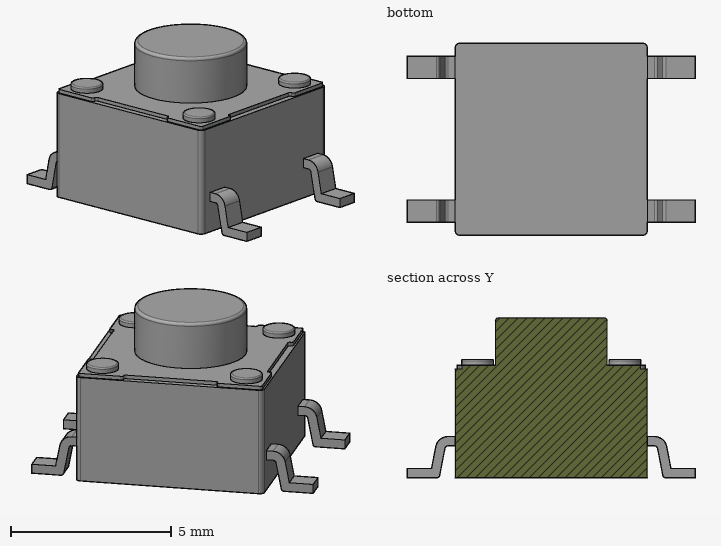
import cadquery as cq
import math

overall_length = 9.0
overall_height = 5.0

body_size = 6.0
body_height = 3.4
body_corner_radius = 0.15

cover_inset = 0.06
cover_thickness = 0.12
cover_corner_radius = 0.06
notch_length = 3.0
notch_depth = 0.15

rivet_diameter = 1.0
rivet_height = 0.18
rivet_spacing = 4.6
rivet_edge_radius = 0.045

button_diameter = 3.5
button_edge_radius = 0.1

lead_width = 0.7
lead_thickness = 0.3
lead_top = 1.3
lead_spacing = 4.48
lead_shoulder = 0.22
lead_slant = math.radians(11)
lead_inner_radius = 0.1
lead_outer_radius = lead_inner_radius + lead_thickness
heel_radius = 0.1

cover_size = body_size - 2 * cover_inset
cover_top = body_height + cover_thickness


def make_body():
    body = cq.Workplane("XY").rect(body_size, body_size).extrude(body_height)
    return body.edges("|Z").fillet(body_corner_radius)


def make_cover():
    """Square plate with a shallow notch in the middle of each side, all corners rounded."""
    top_face = cq.Workplane("XY").workplane(offset=body_height)
    cover = top_face.rect(cover_size, cover_size).extrude(cover_thickness)
    notch = (
        top_face.center(cover_size / 2, 0)
        .rect(2 * notch_depth, notch_length)
        .extrude(cover_thickness)
    )
    for angle in (0, 90, 180, 270):
        cover = cover.cut(notch.rotate((0, 0, 0), (0, 0, 1), angle))
    return cover.edges("|Z").fillet(cover_corner_radius)


def make_rivets():
    return (
        cq.Workplane("XY")
        .workplane(offset=cover_top)
        .rarray(rivet_spacing, rivet_spacing, 2, 2)
        .circle(rivet_diameter / 2)
        .extrude(rivet_height)
        .faces(">Z")
        .edges()
        .fillet(rivet_edge_radius)
    )


def make_button():
    return (
        cq.Workplane("XY")
        .workplane(offset=cover_top)
        .circle(button_diameter / 2)
        .extrude(overall_height - cover_top)
        .faces(">Z")
        .edges()
        .fillet(button_edge_radius)
    )


def make_lead():
    """Lead on the +X side, centred on Y = 0."""
    root = body_size / 2
    tip = overall_length / 2
    bend_angle = math.pi / 2 - lead_slant
    slope = math.tan(lead_slant)
    slant_width = lead_thickness / math.cos(lead_slant)

    outer_knee = root + lead_shoulder + lead_outer_radius * math.tan(bend_angle / 2)
    outer_ankle = outer_knee + (lead_top - lead_thickness) * slope
    inner_knee = outer_knee + lead_thickness * slope - slant_width
    heel = outer_knee + lead_top * slope - slant_width

    lead = (
        cq.Workplane("XZ")
        .moveTo(root, lead_top)
        .lineTo(outer_knee, lead_top)
        .lineTo(outer_ankle, lead_thickness)
        .lineTo(tip, lead_thickness)
        .lineTo(tip, 0)
        .lineTo(heel, 0)
        .lineTo(inner_knee, lead_top - lead_thickness)
        .lineTo(root, lead_top - lead_thickness)
        .close()
        .extrude(lead_width / 2, both=True)
    )

    def round_bend(solid, x, z, radius):
        return solid.edges(cq.selectors.NearestToPointSelector((x, 0, z))).fillet(radius)

    lead = round_bend(lead, outer_knee, lead_top, lead_outer_radius)
    lead = round_bend(lead, inner_knee, lead_top - lead_thickness, lead_inner_radius)
    return round_bend(lead, heel, 0, heel_radius)


result = make_body().union(make_cover()).union(make_rivets()).union(make_button())
right_lead = make_lead()
for lead in (right_lead, right_lead.mirror("YZ")):
    for lead_y in (-lead_spacing / 2, lead_spacing / 2):
        result = result.union(lead.translate((0, lead_y, 0)))